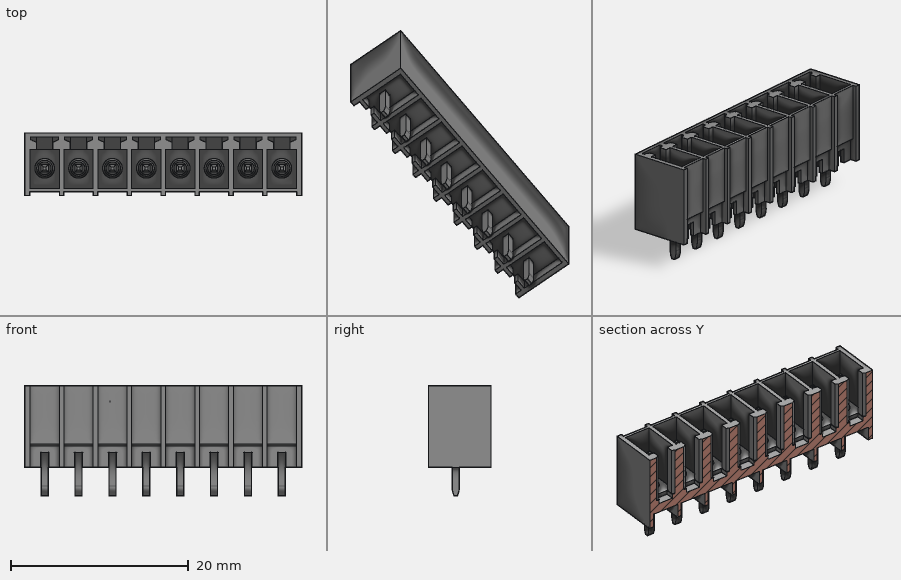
import cadquery as cq


pin_count = 8
pitch = 3.81
pin_positions = [(i - (pin_count - 1) / 2) * pitch for i in range(pin_count)]

end_margin = 2.25
housing_length = (pin_count - 1) * pitch + 2 * end_margin
housing_depth = 7.07
housing_height = 9.2
back_y = 3.99
front_y = back_y - housing_depth

cell_width = 3.3
cell_depth = 4.41
back_shelf_depth = 1.88
cell_back_y = back_y - back_shelf_depth
cell_front_y = cell_back_y - cell_depth
floor_z = 3.4

rib_depth = 0.42
skirt_setback = 0.37
panel_y = front_y + rib_depth
skirt_y = panel_y + skirt_setback
skirt_top_z = 2.4
ledge_rise = 0.26
panel_bottom_z = skirt_top_z + ledge_rise

skirt_thickness = 0.45
underside_height = 1.69
underside_front_y = skirt_y + skirt_thickness
slot_width = 0.92

back_wall_thickness = 0.49
latch_back_y = back_y - back_wall_thickness
latch_neck_width = 1.87
latch_wing_width = 3.14
wing_side_length = 0.28
wing_depth = 0.58
latch_seat_width = 1.8
latch_seat_depth = 0.5

collar_base_diameter = 2.22
collar_middle_diameter = 1.8
collar_top_diameter = 1.44
collar_middle_height = 0.42
collar_height = 0.54

pin_size = 0.82
pin_top_z = 7.8
pin_bottom_z = -3.2
top_taper_height = 0.9
top_tip_size = 0.34
bottom_taper_height = 1.1
bottom_tip_size = 0.36
bottom_bulge = 0.08


def block(x, width, y_range, z_range):
    """Box centred on x, spanning the given Y and Z ranges."""
    return (
        cq.Workplane("XY")
        .box(width, y_range[1] - y_range[0], z_range[1] - z_range[0], centered=(True, False, False))
        .translate((x, y_range[0], z_range[0]))
    )


def front_recess(x):
    """Recess between two ribs, stepping deeper below a sloping ledge."""
    outline = [
        (front_y, 0),
        (skirt_y, 0),
        (skirt_y, skirt_top_z),
        (panel_y, panel_bottom_z),
        (panel_y, housing_height),
        (front_y, housing_height),
    ]
    return (
        cq.Workplane("YZ")
        .polyline(outline)
        .close()
        .extrude(cell_width / 2, both=True)
        .translate((x, 0, 0))
    )


def latch_slot(x):
    """Winged slot down to the cell floor, with a narrower seat sunk below it."""
    neck = latch_neck_width / 2
    wing = latch_wing_width / 2
    outline = [
        (-neck, cell_back_y),
        (-neck, latch_back_y - wing_depth),
        (-wing, latch_back_y - wing_side_length),
        (-wing, latch_back_y),
        (wing, latch_back_y),
        (wing, latch_back_y - wing_side_length),
        (neck, latch_back_y - wing_depth),
        (neck, cell_back_y),
    ]
    slot = (
        cq.Workplane("XY")
        .polyline(outline)
        .close()
        .extrude(housing_height - floor_z)
        .translate((x, 0, floor_z))
    )
    seat = block(x, latch_seat_width, (cell_back_y, latch_back_y), (floor_z - latch_seat_depth, floor_z))
    return slot.union(seat)


def collar(x):
    """Stepped-slope collar on the cell floor: a lower cone, an upper cone and a flat top."""
    profile = [
        (0, 0),
        (collar_base_diameter / 2, 0),
        (collar_middle_diameter / 2, collar_middle_height),
        (collar_top_diameter / 2, collar_height),
        (0, collar_height),
    ]
    return (
        cq.Workplane("XZ")
        .polyline(profile)
        .close()
        .revolve(360, (0, 0, 0), (0, 1, 0))
        .translate((x, 0, floor_z))
    )


def make_housing():
    body = block(0, housing_length, (front_y, back_y), (0, housing_height))
    for x in pin_positions:
        body = body.cut(front_recess(x))
        body = body.cut(block(x, cell_width, (cell_front_y, cell_back_y), (floor_z, housing_height)))
        body = body.cut(latch_slot(x))
        body = body.cut(block(x, cell_width, (underside_front_y, latch_back_y), (0, underside_height)))
        body = body.cut(block(x, slot_width, (skirt_y, underside_front_y), (0, underside_height)))
        body = body.union(collar(x))
        body = body.cut(block(x, pin_size, (-pin_size / 2, pin_size / 2), (0, housing_height)))
    return body


def make_pin(x):
    """Square pin: pyramid point on top, lower end narrowing in Y along two arcs."""
    half = pin_size / 2
    tip = bottom_tip_size / 2
    taper_top_z = pin_bottom_z + bottom_taper_height
    shoulder_z = pin_top_z - top_taper_height
    arc_y = (half + tip) / 2 + bottom_bulge
    arc_z = (pin_bottom_z + taper_top_z) / 2
    shank = (
        cq.Workplane("YZ")
        .moveTo(-half, shoulder_z)
        .lineTo(-half, taper_top_z)
        .threePointArc((-arc_y, arc_z), (-tip, pin_bottom_z))
        .lineTo(tip, pin_bottom_z)
        .threePointArc((arc_y, arc_z), (half, taper_top_z))
        .lineTo(half, shoulder_z)
        .close()
        .extrude(half, both=True)
    )
    point = (
        cq.Workplane("XY", origin=(0, 0, shoulder_z))
        .rect(pin_size, pin_size)
        .workplane(offset=top_taper_height)
        .rect(top_tip_size, top_tip_size)
        .loft()
    )
    return shank.union(point).translate((x, 0, 0))


housing = make_housing()
pins = [make_pin(x) for x in pin_positions]
result = cq.Compound.makeCompound([housing.val(), *[pin.val() for pin in pins]])